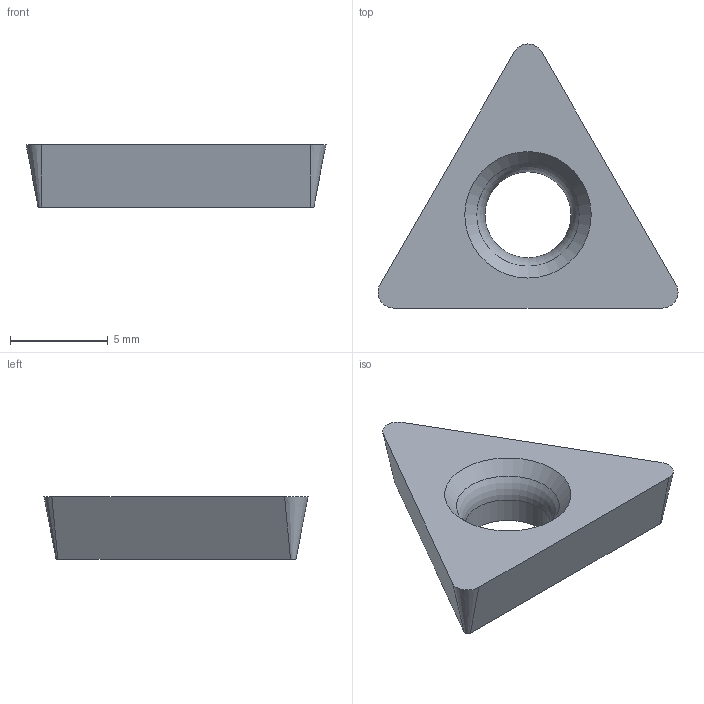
import cadquery as cq
import math

inscribed_diameter = 9.525
thickness = 3.18
corner_count = 3
first_corner_angle = 90
corner_radius = 0.8
relief_angle = 11.0

bore_diameter = 4.4
cone_bottom_diameter = 5.26
cone_top_diameter = 6.46
cone_half_angle = 40.0


def make_triangle(inset):
    """Rounded triangle, moved inward by inset about fixed corner centres."""
    radius = corner_radius - inset
    centre_distance = inscribed_diameter - 2 * corner_radius
    step = 360 / corner_count

    def arc_point(corner_angle, turn):
        corner = math.radians(corner_angle)
        direction = math.radians(corner_angle + turn)
        x = centre_distance * math.cos(corner) + radius * math.cos(direction)
        y = centre_distance * math.sin(corner) + radius * math.sin(direction)
        return x, y

    outline = cq.Workplane("XY").moveTo(*arc_point(first_corner_angle, -step / 2))
    for index in range(corner_count):
        angle = first_corner_angle + index * step
        outline = outline.threePointArc(arc_point(angle, 0), arc_point(angle, step / 2))
        if index < corner_count - 1:
            outline = outline.lineTo(*arc_point(angle + step, -step / 2))
    return outline.close().val()


def make_body():
    """Tapered triangle with its larger face on top."""
    inset = thickness * math.tan(math.radians(relief_angle))
    bottom = make_triangle(inset)
    top = make_triangle(0).translate(cq.Vector(0, 0, thickness))
    return cq.Workplane(cq.Solid.makeLoft([bottom, top], True))


def make_screw_hole():
    """Revolved cutter for the countersunk screw hole."""
    bore_radius = bore_diameter / 2
    cone_bottom_radius = cone_bottom_diameter / 2
    cone_top_radius = cone_top_diameter / 2
    slope = math.radians(cone_half_angle)

    cone_depth = (cone_top_radius - cone_bottom_radius) / math.tan(slope)
    round_radius = (cone_bottom_radius - bore_radius) / (1 - math.cos(slope))
    cone_bottom_z = thickness - cone_depth
    round_bottom_z = cone_bottom_z - round_radius * math.sin(slope)
    round_middle = (
        bore_radius + round_radius * (1 - math.cos(slope / 2)),
        round_bottom_z + round_radius * math.sin(slope / 2),
    )

    profile = (
        cq.Workplane("XZ")
        .lineTo(bore_radius, 0)
        .lineTo(bore_radius, round_bottom_z)
        .threePointArc(round_middle, (cone_bottom_radius, cone_bottom_z))
        .lineTo(cone_top_radius, thickness)
        .lineTo(0, thickness)
        .close()
    )
    return profile.revolve(360, (0, 0, 0), (0, 1, 0))


result = make_body().cut(make_screw_hole())